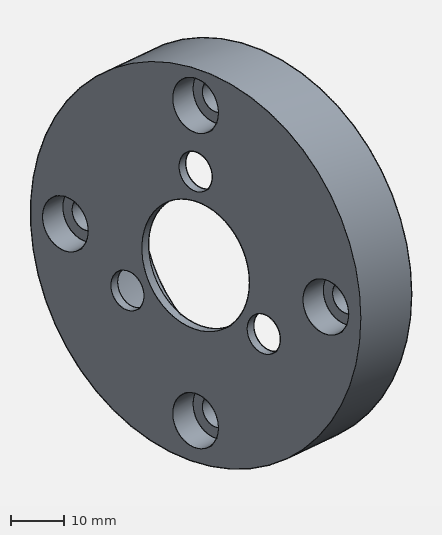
import cadquery as cq
import math

disc_diameter = 80.0
disc_thickness = 15.0
bore_diameter = 26.0

web_thickness = 2.0
recess_diameter = 50.0

screw_circle_radius = 31.5
top_screw_radius = 32.5
screw_centers = [
    (0, top_screw_radius),
    (-screw_circle_radius, 0),
    (0, -screw_circle_radius),
    (screw_circle_radius, 0),
]
screw_hole_diameter = 6.6
counterbore_diameter = 11.0
counterbore_depth = 6.0

web_hole_count = 3
web_hole_circle_radius = 19.0
web_hole_diameter = 8.0
first_web_hole_angle = 90.0


def front_plane(depth=0.0):
    """Sketch plane parallel to the front face; its normal points out toward -Y."""
    return cq.Workplane("XZ", origin=(0, depth, 0))


def cylinder(diameter, start_depth, end_depth):
    """Cylinder on the disc axis between two depths behind the front face."""
    return front_plane(start_depth).circle(diameter / 2).extrude(start_depth - end_depth)


def holes(centers, diameter, depth):
    """Cylinders at the given (x, z) centers, from the front face to the given depth."""
    return front_plane().pushPoints(centers).circle(diameter / 2).extrude(-depth)


def ring_centers(count, circle_radius, first_angle):
    """Evenly spaced (x, z) centers on a circle around the disc axis."""
    angles = [math.radians(first_angle + 360 * i / count) for i in range(count)]
    return [(circle_radius * math.cos(a), circle_radius * math.sin(a)) for a in angles]


disc = cylinder(disc_diameter, 0, disc_thickness)
bore = cylinder(bore_diameter, 0, disc_thickness)
recess = cylinder(recess_diameter, web_thickness, disc_thickness)
screw_holes = holes(screw_centers, screw_hole_diameter, disc_thickness)
counterbores = holes(screw_centers, counterbore_diameter, counterbore_depth)
web_hole_centers = ring_centers(web_hole_count, web_hole_circle_radius, first_web_hole_angle)
web_holes = holes(web_hole_centers, web_hole_diameter, web_thickness)

result = disc.cut(bore).cut(recess).cut(screw_holes).cut(counterbores).cut(web_holes)